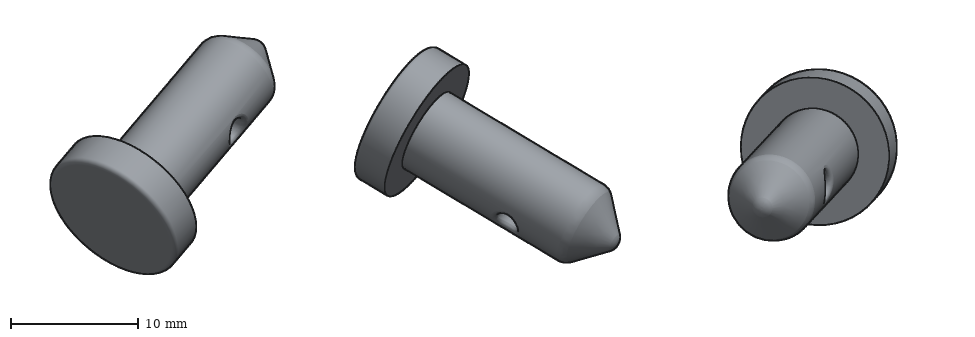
import cadquery as cq

length = 21.0
head_diameter = 12.0
head_thickness = 3.0
head_edge_radius = 0.4
shank_diameter = 7.0
tip_flat_diameter = 1.0
tip_edge_radius = 1.0
shoulder_radius = 1.0
cross_hole_diameter = 2.0
cross_hole_y = 12.75
cross_hole_edge_radius = 0.4

margin = 0.2

shank_radius = shank_diameter / 2
cone_length = shank_radius - tip_flat_diameter / 2
cone_start_y = length - cone_length


def make_head():
    """Round head with a softened outer face."""
    head = cq.Workplane("XZ").circle(head_diameter / 2).extrude(-head_thickness)
    return head.faces("<Y").edges().fillet(head_edge_radius)


def make_shank():
    """Pointed shank with rounded shoulder and tip, revolved about Y."""
    profile = (
        cq.Workplane("XY")
        .lineTo(shank_radius, 0)
        .lineTo(shank_radius, cone_start_y)
        .lineTo(tip_flat_diameter / 2, length)
        .lineTo(0, length)
        .close()
    )
    shank = profile.revolve(360, (0, 0, 0), (0, 1, 0))
    shank = shank.faces(">Y").edges().fillet(tip_edge_radius)
    shoulder = cq.selectors.BoxSelector(
        (-head_diameter, cone_start_y - margin, -head_diameter),
        (head_diameter, cone_start_y + margin, head_diameter),
    )
    return shank.edges("%CIRCLE").edges(shoulder).fillet(shoulder_radius)


def drill_cross_hole(shank):
    """Through hole along X with both mouths rounded."""
    drill = (
        cq.Workplane("YZ")
        .center(cross_hole_y, 0)
        .circle(cross_hole_diameter / 2)
        .extrude(shank_radius + margin, both=True)
    )
    mouth_size = cross_hole_diameter / 2 + margin
    mouths = cq.selectors.BoxSelector(
        (-head_diameter, cross_hole_y - mouth_size, -mouth_size),
        (head_diameter, cross_hole_y + mouth_size, mouth_size),
        boundingbox=True,
    )
    return shank.cut(drill).edges(mouths).edges("not |X").fillet(cross_hole_edge_radius)


result = make_head().union(drill_cross_hole(make_shank()))